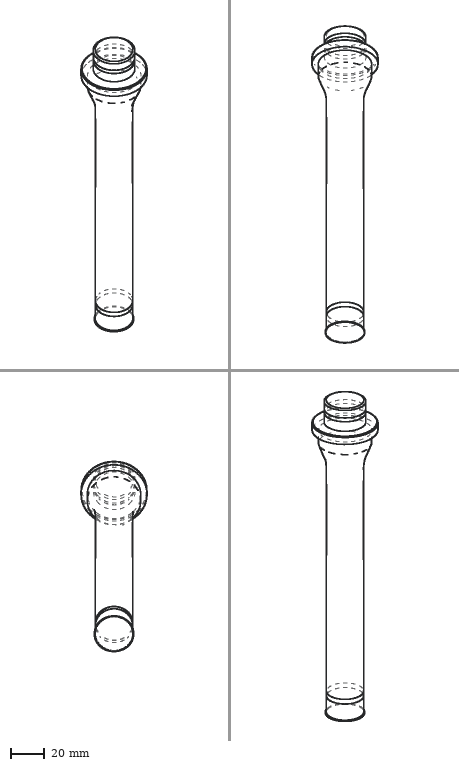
import cadquery as cq

total_height = 210.0

disc_diameter = 23.5
disc_thickness = 1.9
dome_rise = 1.3

shank_diameter = 22.5
relief_diameter = 22.3
groove_bottom = 12.5
groove_top = 15.8
waist_bottom = 99.3
waist_top = 160.0

flare_bottom = 165.0
flare_top = 181.5
collar_diameter = 32.0
flare_top_slope = 0.2

flange_diameter = 39.5
flange_bottom = 190.0
flange_top = 195.3
flange_chamfer = 0.6

stud_diameter = 25.0
stud_groove_diameter = 24.8
stud_groove_bottom = 201.5
stud_groove_top = 204.1
stud_chamfer = 0.8
stud_chamfer_height = 1.3


def make_end_disc():
    """Disc on the lower end, with a shallow dome facing down."""
    disc_radius = disc_diameter / 2
    dome_midpoint = (disc_radius / 2, dome_rise / 4)
    return (
        cq.Workplane("XZ")
        .moveTo(0, 0)
        .threePointArc(dome_midpoint, (disc_radius, dome_rise))
        .lineTo(disc_radius, disc_thickness)
        .lineTo(0, disc_thickness)
        .close()
        .revolve(360, (0, 0, 0), (0, 1, 0))
    )


def ring_groove(outer_diameter, floor_diameter, bottom, top):
    """Ring to cut away for a square groove around a cylinder."""
    return (
        cq.Workplane("XY", origin=(0, 0, bottom))
        .circle(outer_diameter / 2)
        .circle(floor_diameter / 2)
        .extrude(top - bottom)
    )


def make_shank():
    """Waisted shank that flares smoothly into its collar."""
    shank_radius = shank_diameter / 2
    waist_radius = relief_diameter / 2
    collar_radius = collar_diameter / 2
    waist_middle = (waist_bottom + waist_top) / 2
    profile = (
        cq.Workplane("XZ")
        .moveTo(0, disc_thickness)
        .lineTo(shank_radius, disc_thickness)
        .lineTo(shank_radius, waist_bottom)
        .threePointArc((waist_radius, waist_middle), (shank_radius, waist_top))
        .lineTo(shank_radius, flare_bottom)
        .spline([(collar_radius, flare_top)], [(0, 1), (flare_top_slope, 1)], includeCurrent=True)
        .lineTo(collar_radius, flange_bottom)
        .lineTo(0, flange_bottom)
        .close()
    )
    shank = profile.revolve(360, (0, 0, 0), (0, 1, 0))
    return shank.cut(ring_groove(shank_diameter, relief_diameter, groove_bottom, groove_top))


def make_flange():
    """Flange chamfered around its upper rim."""
    return (
        cq.Workplane("XY", origin=(0, 0, flange_bottom))
        .circle(flange_diameter / 2)
        .extrude(flange_top - flange_bottom)
        .faces(">Z")
        .edges()
        .chamfer(flange_chamfer)
    )


def make_stud():
    """Grooved stud with a chamfered top."""
    stud = (
        cq.Workplane("XY", origin=(0, 0, flange_top))
        .circle(stud_diameter / 2)
        .extrude(total_height - flange_top)
    )
    top_face = stud.faces(">Z").val()
    chamfered = stud.val().chamfer(stud_chamfer, stud_chamfer_height, top_face.Edges())
    groove = ring_groove(stud_diameter, stud_groove_diameter, stud_groove_bottom, stud_groove_top)
    return cq.Workplane(chamfered).cut(groove)


def make_probe():
    """Main body: shank, flange and stud in one piece."""
    body = make_shank().union(make_flange()).union(make_stud())
    return body.solids()


probe = make_probe()
end_disc = make_end_disc()

result = cq.Compound.makeCompound([probe.val(), end_disc.val()])